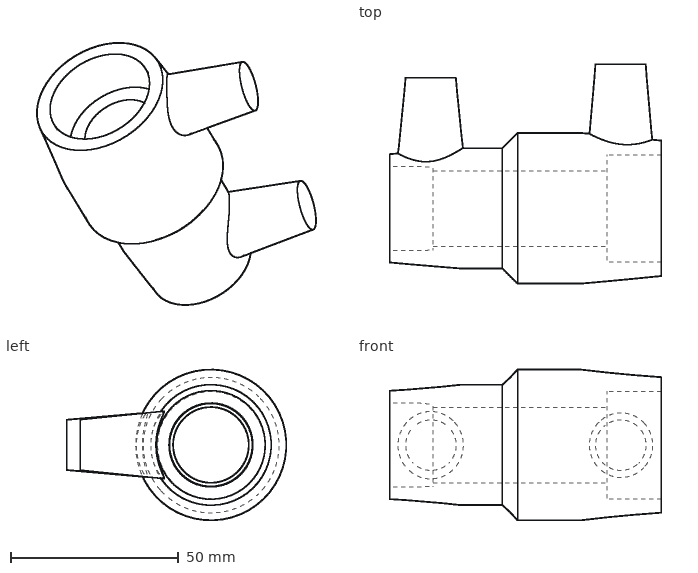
import cadquery as cq

length = 81.0
small_diameter = 36.0
small_end_diameter = 32.4
large_diameter = 45.0
large_end_diameter = 40.5
small_taper_length = 21.1
flare_end = 38.15
flare_length = (large_diameter - small_diameter) / 2
large_taper_length = 24.0

bore_diameter = 22.5
small_socket_diameter = 25.0
small_socket_straight_depth = 9.15
small_socket_taper_length = 3.65
small_socket_bottom_diameter = 24.7
large_socket_diameter = 32.0
large_socket_depth = 16.2

tower_base_y = 12.15
tower_base_diameter = 20.5
tower_tip_diameter = 15.1
small_tower_x = 12.2
large_tower_x = 68.85
large_tower_tip_y = 43.0
small_tower_tip_y = large_tower_tip_y - 4.05


def make_body():
    flare_start = flare_end - flare_length
    profile = [
        (0, 0),
        (0, small_end_diameter / 2),
        (small_taper_length, small_diameter / 2),
        (flare_start, small_diameter / 2),
        (flare_end, large_diameter / 2),
        (length - large_taper_length, large_diameter / 2),
        (length, large_end_diameter / 2),
        (length, 0),
    ]
    return cq.Workplane("XY").polyline(profile).close().revolve(360, (0, 0, 0), (1, 0, 0))


def make_tower(x, tip_y):
    axis = cq.Vector(0, 1, 0)
    base = cq.Vector(x, tower_base_y, 0)
    height = tip_y - tower_base_y
    return cq.Solid.makeCone(tower_base_diameter / 2, tower_tip_diameter / 2, height, base, axis)


def make_bore_section(start_x, section_length, start_diameter, end_diameter):
    profile = [
        (start_x, 0),
        (start_x, start_diameter / 2),
        (start_x + section_length, end_diameter / 2),
        (start_x + section_length, 0),
    ]
    return cq.Workplane("XY").polyline(profile).close().revolve(360, (0, 0, 0), (1, 0, 0))


result = make_body()
for tower_x, tower_tip_y in [(small_tower_x, small_tower_tip_y), (large_tower_x, large_tower_tip_y)]:
    result = result.union(make_tower(tower_x, tower_tip_y))

bore_sections = [
    (0, length, bore_diameter, bore_diameter),
    (0, small_socket_straight_depth, small_socket_diameter, small_socket_diameter),
    (
        small_socket_straight_depth,
        small_socket_taper_length,
        small_socket_diameter,
        small_socket_bottom_diameter,
    ),
    (length - large_socket_depth, large_socket_depth, large_socket_diameter, large_socket_diameter),
]
for bore_section in bore_sections:
    result = result.cut(make_bore_section(*bore_section))